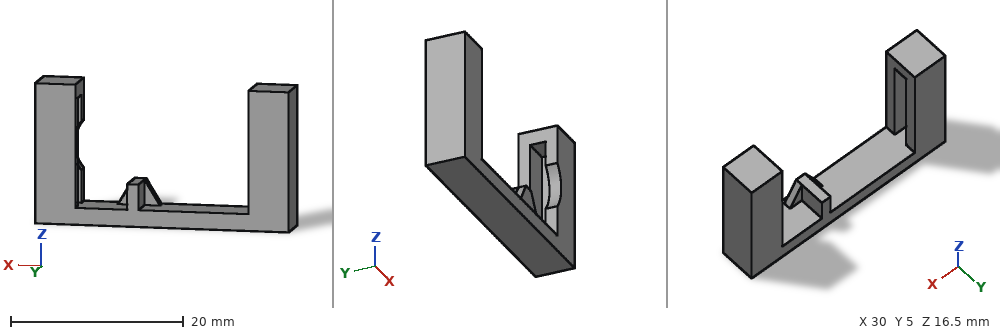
import cadquery as cq

length = 30.0
depth = 5.0
height = 16.5
base_thickness = 2.0
post_width = 4.75

wall = 1.5
cap_thickness = 1.8
slot_width = depth - 2 * wall
slot_depth = post_width - wall
slot_height = height - cap_thickness - base_thickness

notch_center_z = 8.7
notch_half_height = 2.85
notch_sagitta = 1.05

stop_height = 3.0
stop_center_x = 18.45
plate_bottom_width = 5.0
plate_top_width = 1.35
plate_front_y = 0.5
plate_thickness = 1.0
rib_width = plate_top_width

right_post_x = length - post_width


def box(x, y, z, size_x, size_y, size_z):
    """Box placed by its lowest corner."""
    return cq.Workplane("XY").box(size_x, size_y, size_z, centered=False).translate((x, y, z))


def extrude_along_y(profile, start_y, thickness):
    """Extrude an XZ profile from start_y toward +Y."""
    return profile.extrude(-thickness).translate((0, start_y, 0))


def make_frame():
    opening = box(
        post_width, 0, base_thickness,
        length - 2 * post_width, depth, height - base_thickness,
    )
    return box(0, 0, 0, length, depth, height).cut(opening)


def make_slot(start_x):
    return box(start_x, wall, base_thickness, slot_depth, slot_width, slot_height)


def make_notch():
    profile = (
        cq.Workplane("XZ")
        .moveTo(right_post_x, notch_center_z - notch_half_height)
        .threePointArc(
            (right_post_x + notch_sagitta, notch_center_z),
            (right_post_x, notch_center_z + notch_half_height),
        )
        .close()
    )
    return extrude_along_y(profile, 0, wall)


def make_stop():
    top_z = base_thickness + stop_height
    profile = (
        cq.Workplane("XZ")
        .moveTo(stop_center_x - plate_bottom_width / 2, base_thickness)
        .lineTo(stop_center_x + plate_bottom_width / 2, base_thickness)
        .lineTo(stop_center_x + plate_top_width / 2, top_z)
        .lineTo(stop_center_x - plate_top_width / 2, top_z)
        .close()
    )
    plate = extrude_along_y(profile, plate_front_y, plate_thickness)
    rib_y = plate_front_y + plate_thickness
    rib = box(
        stop_center_x - rib_width / 2, rib_y, base_thickness,
        rib_width, depth - rib_y, stop_height,
    )
    return plate.union(rib)


result = make_frame().union(make_stop())
for slot_start_x in (post_width - slot_depth, right_post_x):
    result = result.cut(make_slot(slot_start_x))
result = result.cut(make_notch())